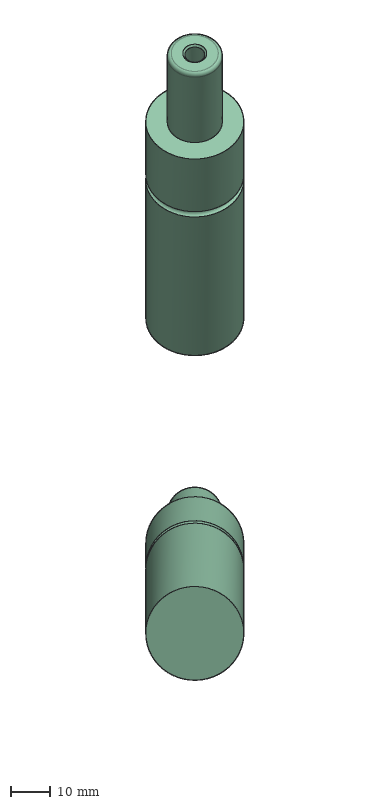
import cadquery as cq
import math

total_height = 105.0
body_radius = 12.5
rod_radius = 7.0
rod_length = 27.0
rod_edge_round = 1.0
shoulder_height = total_height - rod_length

groove_height = 56.1
groove_radius = 1.0

hole_radius = 2.5
mouth_radius = 3.0
hole_depth = 12.0
drill_point_angle = 118.0


def make_body():
    """Turned body with its half-round groove, revolved from a half profile."""
    groove_floor = (body_radius - groove_radius, groove_height)
    groove_top = (body_radius, groove_height + groove_radius)
    profile = (
        cq.Workplane("XZ")
        .lineTo(body_radius, 0)
        .lineTo(body_radius, groove_height - groove_radius)
        .threePointArc(groove_floor, groove_top)
        .lineTo(body_radius, shoulder_height)
        .lineTo(0, shoulder_height)
        .close()
    )
    return profile.revolve(360, (0, 0), (0, 1))


def make_rod():
    """Rod with a rounded top edge, standing on the shoulder."""
    rod = cq.Workplane("XY").workplane(offset=shoulder_height).circle(rod_radius).extrude(rod_length)
    return rod.faces(">Z").edges().fillet(rod_edge_round)


def make_hole():
    """Cutting solid for the end hole, with a 45 degree countersink."""
    countersink_depth = mouth_radius - hole_radius
    point_length = hole_radius / math.tan(math.radians(drill_point_angle / 2))
    hole_floor = total_height - hole_depth
    profile = [
        (0, total_height),
        (mouth_radius, total_height),
        (hole_radius, total_height - countersink_depth),
        (hole_radius, hole_floor),
        (0, hole_floor - point_length),
    ]
    return cq.Workplane("XZ").polyline(profile).close().revolve(360, (0, 0), (0, 1))


result = make_body().union(make_rod()).cut(make_hole())